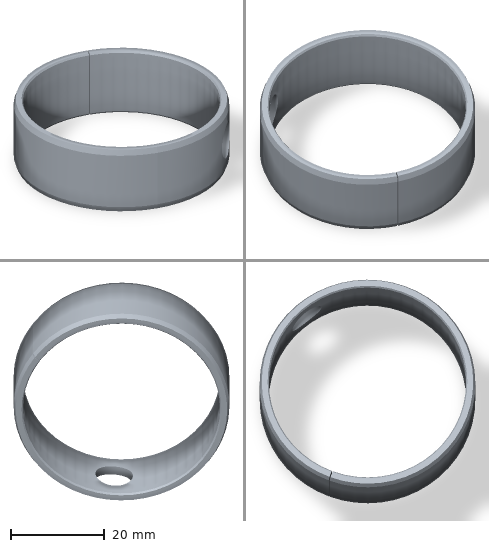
import cadquery as cq

outer_diameter = 46.0
wall = 2.0
height = 15.0
outer_radius = outer_diameter / 2
inner_radius = outer_radius - wall

outer_bevel_height = 1.25
outer_bevel_depth = 0.45
inner_bevel_height = 0.4
inner_bevel_depth = 0.28

split_width = 0.25
split_offset = 0.25

hole_diameter = 8.0
hole_angle = 59.0


def make_ring():
    """Revolve the bevelled wall section about Z."""
    top = height / 2
    section = [
        (inner_radius, -top + inner_bevel_height),
        (inner_radius + inner_bevel_depth, -top),
        (outer_radius - outer_bevel_depth, -top),
        (outer_radius, -top + outer_bevel_height),
        (outer_radius, top - outer_bevel_height),
        (outer_radius - outer_bevel_depth, top),
        (inner_radius + inner_bevel_depth, top),
        (inner_radius, top - inner_bevel_height),
    ]
    return cq.Workplane("XZ").polyline(section).close().revolve(360, (0, 0, 0), (0, 1, 0))


def make_split():
    """Box that opens the wall along its full height on the -X side."""
    cutter = cq.Workplane("XY").box(outer_radius, split_width, height)
    return cutter.translate((-outer_radius, split_offset, 0))


def make_radial_hole():
    """Cylinder from the axis outwards at mid height, turned about Z."""
    cutter = cq.Workplane("YZ").circle(hole_diameter / 2).extrude(outer_diameter)
    return cutter.rotate((0, 0, 0), (0, 0, 1), hole_angle)


result = make_ring().cut(make_split()).cut(make_radial_hole())